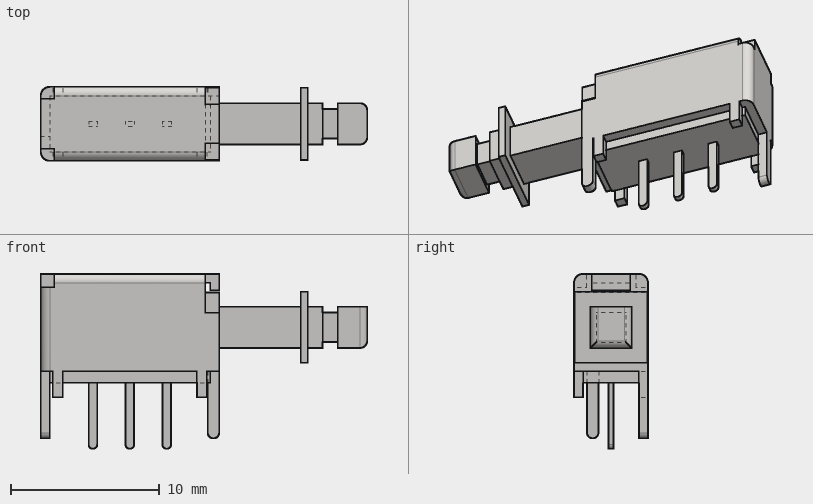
import cadquery as cq

total_length = 22.0
case_length = 12.03
case_width = 5.0
case_height = 6.55
wall = 0.62

rear_relief_x = 0.9
rear_relief_y = 0.81
rear_relief_z = 0.92

front_relief_x = 0.95
front_relief_y = 1.19
front_relief_z = 2.65
ear_drop = 1.25
ear_inset = 0.07
lip_drop = 1.12

base_drop = 0.8
terminal_center = 6.0
tab_start = 0.81
tab_width = 0.68
tab_drop = 1.75
leg_width = 0.8
leg_drop = 4.53
rear_leg_y = -1.23
pin_width = 0.6
pin_thickness = 0.35
pin_pitch = 2.49
pin_drop = 5.24

plunger_size = 2.8
plunger_z = case_height - 3.6
flange_start = 17.51
flange_thickness = 0.48
flange_width = 4.88
flange_height = 4.8
neck_start = 18.99
neck_size = 2.0
cap_start = 20.0
cap_radius = 0.5

half_width = case_width / 2
relief_start = case_length - front_relief_x
inner_width = case_width - 2 * wall
inner_end = case_length - wall


def block(x0, x1, y0, y1, z0, z1):
    """Box between two opposite corners."""
    return cq.Workplane("XY").box(x1 - x0, y1 - y0, z1 - z0, centered=False).translate((x0, y0, z0))


def bar(x0, x1, width, height):
    """Rectangular length of the plunger, centred on its axis."""
    return block(x0, x1, -width / 2, width / 2, plunger_z - height / 2, plunger_z + height / 2)


def on_both_sides(shape):
    """A shape together with its mirror image across the XZ plane."""
    return shape.union(shape.mirror("XZ"))


def make_case():
    envelope = block(0, case_length, -half_width, half_width, 0, case_height)
    lid_bends = envelope.edges("|X and >Z").fillet(wall)
    rear_bends = envelope.edges("|Z and <X").fillet(wall)
    case = lid_bends.intersect(rear_bends)
    rear_relief = block(
        0, rear_relief_x,
        half_width - rear_relief_y, half_width,
        case_height - rear_relief_z, case_height,
    )
    front_relief = block(
        relief_start, case_length,
        half_width - front_relief_y, half_width,
        case_height - ear_drop, case_height,
    )
    ear_recess = block(
        relief_start, case_length,
        half_width - ear_inset, half_width,
        case_height - front_relief_z, case_height,
    )
    return case.cut(on_both_sides(rear_relief.union(front_relief).union(ear_recess)))


def make_lip_gap():
    """Through gap under the lid, leaving a lip bent down at its front end."""
    under_lid = block(
        relief_start, inner_end, -half_width, half_width,
        case_height - ear_drop, case_height - wall,
    )
    under_lip = block(
        relief_start, case_length, -half_width, half_width,
        case_height - ear_drop, case_height - lip_drop,
    )
    return under_lid.union(under_lip)


def round_ended_post(width, thickness, drop):
    """Flat strip hanging down from the rim, with a half-round lower end. Its width lies along X."""
    radius = width / 2
    return (
        cq.Workplane("XZ")
        .moveTo(-radius, 0)
        .lineTo(-radius, radius - drop)
        .threePointArc((0, -drop), (radius, radius - drop))
        .lineTo(radius, 0)
        .close()
        .extrude(thickness / 2, both=True)
    )


def make_tabs():
    rear_tab = block(tab_start, tab_start + tab_width, half_width - wall, half_width, -tab_drop, 0)
    front_tab_start = 2 * terminal_center - tab_start - tab_width
    front_tab = rear_tab.translate((front_tab_start - tab_start, 0, 0))
    return on_both_sides(rear_tab.union(front_tab))


def make_legs():
    """Two round-ended legs: one on the rear wall, one at the front of the +Y wall."""
    leg = round_ended_post(leg_width, wall, leg_drop)
    rear_leg = leg.rotate((0, 0, 0), (0, 0, 1), 90).translate((wall / 2, rear_leg_y, 0))
    side_leg = leg.translate((case_length - leg_width / 2, half_width - wall / 2, 0))
    return rear_leg.union(side_leg)


def make_pins():
    pin = round_ended_post(pin_width, pin_thickness, pin_drop)
    pins = cq.Workplane("XY")
    for step in (-1, 0, 1):
        pins = pins.union(pin.translate((terminal_center + step * pin_pitch, 0, 0)))
    return pins


def make_plunger():
    shaft = bar(inner_end, neck_start, plunger_size, plunger_size)
    flange = bar(flange_start, flange_start + flange_thickness, flange_width, flange_height)
    neck = bar(neck_start, cap_start, neck_size, neck_size)
    cap = bar(cap_start, total_length, plunger_size, plunger_size)
    cap = cap.edges("(|Z and >X) or (|Y and >X and <Z)").fillet(cap_radius)
    return shaft.union(flange).union(neck).union(cap)


base = block(wall, inner_end, -inner_width / 2, inner_width / 2, -base_drop, 0)

result = (
    make_case()
    .cut(make_lip_gap())
    .union(base)
    .union(make_tabs())
    .union(make_legs())
    .union(make_pins())
    .union(make_plunger())
)